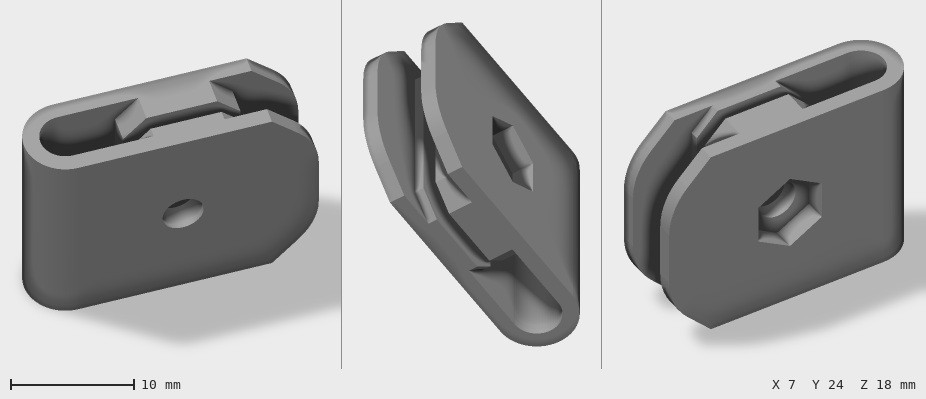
import cadquery as cq

length = 24.0
height = 18.0
width = 7.0
wall = 1.4
outer_radius = width / 2
inner_radius = outer_radius - wall
arm_length = length - outer_radius

end_chamfer = 3.98
end_fillet = 6.0

pad_length = 10.0
pad_chamfer = 2.0
pad_center_y = arm_length - 10.6
left_pad_thickness = 2.23
right_pad_thickness = 0.82

hole_diameter = 3.5
hole_center_y = arm_length - 11.55
nut_across_flats = 6.07
nut_depth = 2.0


def u_body():
    """Bent strip with a half-round closed end at -Y."""
    return (
        cq.Workplane("XY")
        .moveTo(-outer_radius, arm_length)
        .lineTo(-outer_radius, 0)
        .threePointArc((0, -outer_radius), (outer_radius, 0))
        .lineTo(outer_radius, arm_length)
        .lineTo(inner_radius, arm_length)
        .lineTo(inner_radius, 0)
        .threePointArc((0, -inner_radius), (-inner_radius, 0))
        .lineTo(-inner_radius, arm_length)
        .close()
        .extrude(height / 2, both=True)
    )


def arm_end_profile():
    """Side outline with 45 degree corners blended into the end faces."""
    return (
        cq.Workplane("XY")
        .box(width, length, height)
        .translate((0, arm_length - length / 2, 0))
        .edges(">Y and |X")
        .chamfer(end_chamfer)
        .edges(">Y and |X")
        .fillet(end_fillet)
    )


def pad(start_x, thickness):
    """Full-height pad with chamfered corners, growing toward +X."""
    return (
        cq.Workplane("XY")
        .box(thickness, pad_length, height)
        .edges("|X")
        .chamfer(pad_chamfer)
        .translate((start_x + thickness / 2, pad_center_y, 0))
    )


def screw_hole():
    return (
        cq.Workplane("YZ", origin=(0, hole_center_y, 0))
        .circle(hole_diameter / 2)
        .extrude(outer_radius, both=True)
    )


def nut_pocket():
    """Hexagon with corners up and down, sunk into the -X face."""
    slab = cq.Workplane("XY").box(nut_depth, nut_across_flats, 2 * nut_across_flats)
    pocket = slab
    for angle in (60, 120):
        pocket = pocket.intersect(slab.rotate((0, 0, 0), (1, 0, 0), angle))
    return pocket.translate((-outer_radius + nut_depth / 2, hole_center_y, 0))


result = (
    u_body()
    .intersect(arm_end_profile())
    .union(pad(-inner_radius, left_pad_thickness))
    .union(pad(inner_radius - right_pad_thickness, right_pad_thickness))
    .cut(screw_hole())
    .cut(nut_pocket())
)